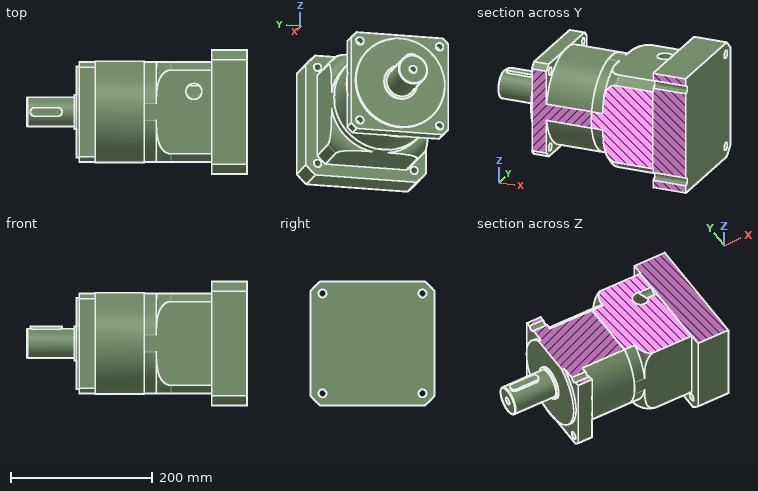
import cadquery as cq
import math


SHOULDER_X = 67.0
PILOT_X = 70.0
FLANGE_X = 74.0
RING_X = 97.0
INPUT_X = 166.5
STEP_X = 183.4
ADAPTER_X = 261.5
END_X = 312.0

SHAFT_DIAMETER = 42.0
SHAFT_CHAMFER = 1.0
SHOULDER_DIAMETER = 48.5
CENTRE_HOLE_DIAMETER = 10.5
CENTRE_HOLE_DEPTH = 22.0
DRILL_POINT_ANGLE = 118.0

KEY_WIDTH = 12.0
KEY_LENGTH = 45.0
KEY_HEIGHT = 8.0
KEY_START_X = 5.0
KEY_TOP_Z = 24.0

BODY_WIDTH = 142.0
PILOT_DIAMETER = 130.0
FLANGE_CORNER_DIAMETER = 190.0
FLANGE_BOLT_CIRCLE = 165.0
BOLT_HOLE_DIAMETER = 11.0
RING_DIAMETER = 144.0

INPUT_CORNER_DIAMETER = 185.0
CAVITY_DIAMETER = 92.0
CAVITY_X = 215.0
ACCESS_DIAMETER = 22.5
ACCESS_X = 236.5
ACCESS_Y = 29.0
SIDE_BORE_DIAMETER = 14.0
SIDE_BORE_Y = 32.5
SIDE_BORE_Z = 56.3

HUB_DIAMETER = 74.0

ADAPTER_WIDTH = 176.0
ADAPTER_CORNER_DIAMETER = 230.0
ADAPTER_BOLT_CIRCLE = 200.0


def cylinder(diameter, x_start, x_end, y=0, z=0):
    """Cylinder along X between two stations."""
    plane = cq.Workplane("YZ", origin=(x_start, y, z))
    return plane.circle(diameter / 2).extrude(x_end - x_start)


def square_bar(width, x_start, x_end):
    """Square bar centred on the X axis."""
    plane = cq.Workplane("YZ", origin=(x_start, 0, 0))
    return plane.rect(width, width).extrude(x_end - x_start)


def corner_holes(bolt_circle, x_start, x_end):
    """Four bolt holes on the diagonals of a square plate."""
    spacing = bolt_circle / math.sqrt(2)
    plane = cq.Workplane("YZ", origin=(x_start, 0, 0))
    points = plane.rect(spacing, spacing, forConstruction=True).vertices()
    return points.circle(BOLT_HOLE_DIAMETER / 2).extrude(x_end - x_start)


def make_key():
    """Round-ended parallel key standing in the top of the shaft."""
    centre_x = KEY_START_X + KEY_LENGTH / 2
    plane = cq.Workplane("XY", origin=(centre_x, 0, KEY_TOP_Z - KEY_HEIGHT))
    return plane.slot2D(KEY_LENGTH, KEY_WIDTH).extrude(KEY_HEIGHT)


def make_shaft(key):
    """Shaft with its shoulder, keyway and drilled centre hole."""
    shaft = cylinder(SHAFT_DIAMETER, 0, SHOULDER_X).faces("<X").chamfer(SHAFT_CHAMFER)
    shaft = shaft.union(cylinder(SHOULDER_DIAMETER, SHOULDER_X, PILOT_X))
    hole_radius = CENTRE_HOLE_DIAMETER / 2
    point_length = hole_radius / math.tan(math.radians(DRILL_POINT_ANGLE / 2))
    centre_hole = (
        cq.Workplane("XY")
        .polyline([
            (0, 0),
            (0, hole_radius),
            (CENTRE_HOLE_DEPTH, hole_radius),
            (CENTRE_HOLE_DEPTH + point_length, 0),
        ])
        .close()
        .revolve(360, (0, 0, 0), (1, 0, 0))
    )
    return shaft.cut(centre_hole).cut(key)


def make_gear_housing():
    """Pilot disc, square flange with trimmed corners, and ring gear barrel."""
    flange = square_bar(BODY_WIDTH, FLANGE_X, RING_X)
    flange = flange.intersect(cylinder(FLANGE_CORNER_DIAMETER, FLANGE_X, RING_X))
    flange = flange.cut(corner_holes(FLANGE_BOLT_CIRCLE, FLANGE_X, RING_X))
    pilot = cylinder(PILOT_DIAMETER, PILOT_X, FLANGE_X)
    ring = cylinder(RING_DIAMETER, RING_X, INPUT_X)
    return pilot.union(flange).union(ring)


def make_input_housing():
    """Round-shouldered square housing with a hub cavity, access hole and side bore."""
    shoulder_radius = (INPUT_CORNER_DIAMETER - RING_DIAMETER) / 2
    barrel = cylinder(INPUT_CORNER_DIAMETER, STEP_X, ADAPTER_X)
    barrel = barrel.faces("<X").edges().fillet(shoulder_radius)
    housing = cylinder(RING_DIAMETER, INPUT_X, STEP_X).union(barrel)
    housing = housing.intersect(square_bar(BODY_WIDTH, INPUT_X, ADAPTER_X))
    cavity = cylinder(CAVITY_DIAMETER, CAVITY_X, ADAPTER_X)
    access = cq.Workplane("XY", origin=(ACCESS_X, ACCESS_Y, 0))
    access = access.circle(ACCESS_DIAMETER / 2).extrude(BODY_WIDTH / 2)
    side_bore = cylinder(SIDE_BORE_DIAMETER, ACCESS_X, ADAPTER_X, SIDE_BORE_Y, SIDE_BORE_Z)
    return housing.cut(cavity).cut(access).cut(side_bore)


def make_adapter():
    """Square motor plate with trimmed corners and four through holes."""
    plate = square_bar(ADAPTER_WIDTH, ADAPTER_X, END_X)
    plate = plate.intersect(cylinder(ADAPTER_CORNER_DIAMETER, ADAPTER_X, END_X))
    return plate.cut(corner_holes(ADAPTER_BOLT_CIRCLE, ADAPTER_X, END_X))


key = make_key()
shaft = make_shaft(key)
gear_housing = make_gear_housing()
input_housing = make_input_housing()
hub = cylinder(HUB_DIAMETER, CAVITY_X, ADAPTER_X)
adapter = make_adapter()

result = cq.Compound.makeCompound([
    shaft.val(),
    key.val(),
    gear_housing.val(),
    input_housing.val(),
    hub.val(),
    adapter.val(),
])